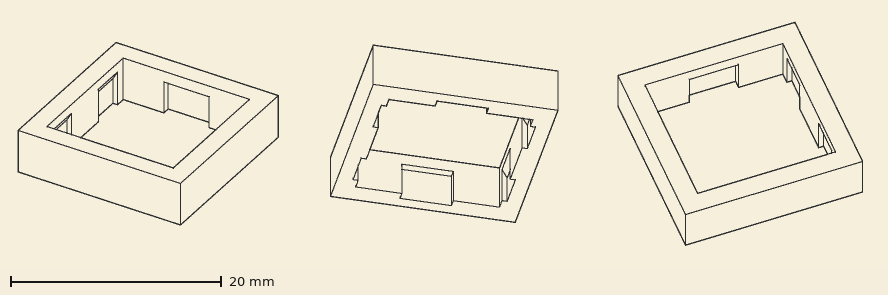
import cadquery as cq

side = 18.0
height = 4.7
wall = 2.0
opening = side - 2 * wall

wide_width = 5.0
wide_depth = 0.8
wide_roof = 1.2

narrow_width = 3.44
narrow_depth = 0.5
narrow_roof = 1.0
narrow_spacing = 8.46
ceiling_drop = 0.9


def make_frame():
    """Square ring with its bottom face on Z = 0."""
    return cq.Workplane("XY").rect(side, side).rect(opening, opening).extrude(height)


def make_wide_recesses():
    """One bar across the opening that cuts both Y walls."""
    bar_length = opening + 2 * wide_depth
    return cq.Workplane("XY").rect(wide_width, bar_length).extrude(height - wide_roof)


def make_narrow_recesses(center_y):
    """One bar across the opening that cuts both X walls, its top sloping down into each wall."""
    inner_x = opening / 2
    outer_x = inner_x + narrow_depth
    top_z = height - narrow_roof
    outline = [
        (-outer_x, 0),
        (outer_x, 0),
        (outer_x, top_z - ceiling_drop),
        (inner_x, top_z),
        (-inner_x, top_z),
        (-outer_x, top_z - ceiling_drop),
    ]
    bar = cq.Workplane("XZ").polyline(outline).close().extrude(narrow_width / 2, both=True)
    return bar.translate((0, center_y, 0))


result = make_frame().cut(make_wide_recesses())
for center_y in (-narrow_spacing / 2, narrow_spacing / 2):
    result = result.cut(make_narrow_recesses(center_y))